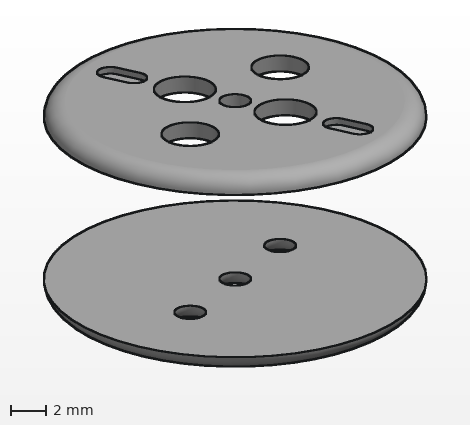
import cadquery as cq

plate_diameter = 21.6
plate_thickness = 1.0
overall_height = 12.0
plate_radius = plate_diameter / 2

rim_width = 1.2

hole_diameter = 1.8
hole_spacing = 5.25
screw_points = [(0, -hole_spacing), (0, hole_spacing)]
centre_point = (0, 0)

lower_hole_fillet = 0.9

screw_clearance_diameter = 3.25
side_hole_diameter = 3.5
side_hole_offset = 3.25

slot_length = 3.0
slot_width = 1.51
slot_depth = 0.4
slot_offset = 7.28


def rounded_disc():
    """Disc with its flat inner face at Z = 0 and its rounded rim above."""
    return (
        cq.Workplane("XZ")
        .lineTo(plate_radius, 0)
        .ellipseArc(rim_width, plate_thickness, 0, 90, startAtCurrent=True)
        .lineTo(0, plate_thickness)
        .close()
        .revolve(360, (0, 0, 0), (0, 1, 0))
    )


def through_holes(points, diameter):
    """Cylinders for cutting holes through a plate."""
    return (
        cq.Workplane("XY")
        .pushPoints(points)
        .circle(diameter / 2)
        .extrude(plate_thickness)
    )


def make_upper_plate():
    side_points = [(-side_hole_offset, 0), (side_hole_offset, 0)]
    slot_points = [(-slot_offset, 0), (slot_offset, 0)]
    slots = (
        cq.Workplane("XY", origin=(0, 0, plate_thickness - slot_depth))
        .pushPoints(slot_points)
        .slot2D(slot_length, slot_width)
        .extrude(slot_depth)
    )
    plate = (
        rounded_disc()
        .cut(through_holes([centre_point], hole_diameter))
        .cut(through_holes(screw_points, screw_clearance_diameter))
        .cut(through_holes(side_points, side_hole_diameter))
        .cut(slots)
    )
    return plate.translate((0, 0, overall_height - plate_thickness))


def make_lower_plate():
    hole_points = [centre_point, *screw_points]
    plate = rounded_disc().cut(through_holes(hole_points, hole_diameter))
    for x, y in hole_points:
        mouth = cq.NearestToPointSelector((x, y, plate_thickness))
        plate = plate.faces(">Z").edges(mouth).fillet(lower_hole_fillet)
    return plate.mirror("XY").translate((0, 0, plate_thickness))


upper_plate = make_upper_plate()
lower_plate = make_lower_plate()

result = cq.Compound.makeCompound([upper_plate.val(), lower_plate.val()])